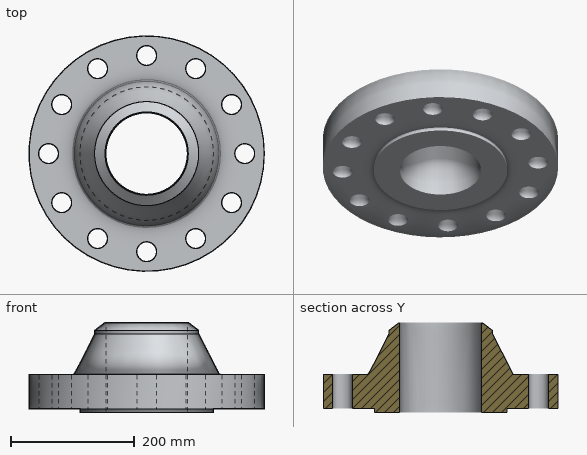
import cadquery as cq
import math

flange_diameter = 381.0
flange_thickness = 56.0
raised_face_diameter = 216.0
raised_face_height = 6.0

hub_length = 83.8
hub_base_diameter = 235.5
hub_root_fillet = 2.5
neck_diameter = 168.5
neck_land_height = 5.5
weld_tip_diameter = 135.0
weld_bevel_angle = 37.5

bore_diameter = 131.8
bolt_hole_diameter = 31.5
bolt_circle_diameter = 317.3
bolt_count = 12

flange_bottom = raised_face_height
flange_top = flange_bottom + flange_thickness
neck_top = flange_top + hub_length
bevel_height = (neck_diameter - weld_tip_diameter) / 2 * math.tan(math.radians(weld_bevel_angle))
land_top = neck_top - bevel_height
land_bottom = land_top - neck_land_height


def make_body():
    """Revolve the solid outer profile about the Z axis and round the hub root."""
    profile = (
        cq.Workplane("XZ")
        .moveTo(0, 0)
        .lineTo(raised_face_diameter / 2, 0)
        .lineTo(raised_face_diameter / 2, flange_bottom)
        .lineTo(flange_diameter / 2, flange_bottom)
        .lineTo(flange_diameter / 2, flange_top)
        .lineTo(hub_base_diameter / 2, flange_top)
        .lineTo(neck_diameter / 2, land_bottom)
        .lineTo(neck_diameter / 2, land_top)
        .lineTo(weld_tip_diameter / 2, neck_top)
        .lineTo(0, neck_top)
        .close()
    )
    body = profile.revolve(360, (0, 0, 0), (0, 1, 0))
    hub_root = cq.selectors.RadiusNthSelector(-2)
    return body.edges("%CIRCLE").edges(hub_root).fillet(hub_root_fillet)


def make_bore():
    """Straight bore through the full height."""
    return cq.Workplane("XY").circle(bore_diameter / 2).extrude(neck_top)


def make_bolt_holes():
    """Equally spaced through holes, the first one on the +X axis."""
    return (
        cq.Workplane("XY")
        .workplane(offset=flange_bottom)
        .polarArray(bolt_circle_diameter / 2, 0, 360, bolt_count)
        .circle(bolt_hole_diameter / 2)
        .extrude(flange_thickness)
    )


result = make_body().cut(make_bore()).cut(make_bolt_holes())